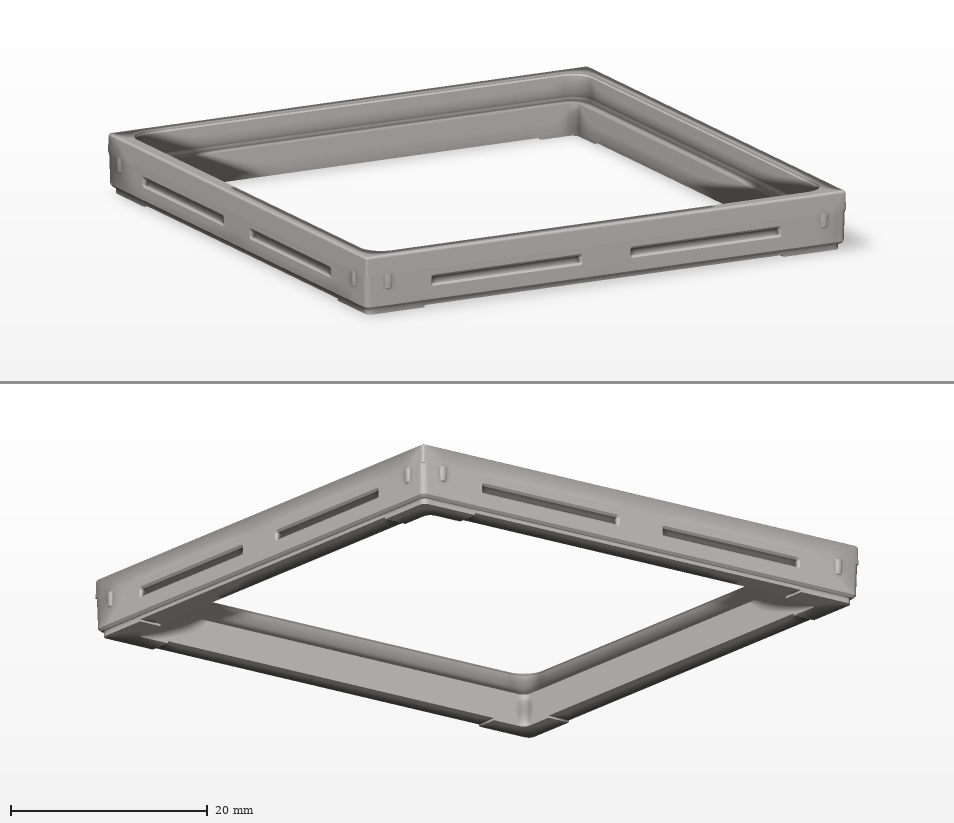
import cadquery as cq
import math

height = 6.2
parting_z = 4.2
half_body = 27.8
draft = 1.5
lower_corner_radius = 0.6
upper_edge_radius = 0.3

body_bottom_z = 0.6
bottom_chamfer = 0.3
half_skirt = 27.3
skirt_corner_radius = 0.65
foot_height = 0.2
foot_inner_edge = 20.75

half_recess = 26.2
recess_corner_radius = 2.25
recess_floor_z = 3.4
recess_chamfer = 0.3
recess_rim_chamfer = 0.14
half_bore = 24.7
bore_corner_radius = 0.85

half_overall = 27.95
bump_offset = 25.15
bump_radius = 0.55
bump_nose_top_z = 3.4
bump_end_radius = 0.5
bump_bottom_z = 2.55
bump_end_rounding = 0.2

groove_inner_end = 2.75
groove_outer_end = 20.25
groove_z = 2.85
groove_width = 1.2
groove_depth = 0.65
groove_flare = 0.2
groove_corner_radius = 0.1

SIDE_ANGLES = (0, 90, 180, 270)


def square_block(half_width, bottom_z, top_z, taper=0.0):
    block = cq.Workplane("XY").workplane(offset=bottom_z).rect(2 * half_width, 2 * half_width)
    return block.extrude(top_z - bottom_z, taper=taper)


def upper_body():
    block = square_block(half_body, parting_z, height, draft)
    return block.edges("not(<Z)").fillet(upper_edge_radius)


def lower_body():
    depth = parting_z - body_bottom_z
    block = (
        cq.Workplane("XY", origin=(0, 0, parting_z))
        .rect(2 * half_body, 2 * half_body)
        .extrude(-depth, taper=draft)
    )
    block = block.edges("not(|X or |Y)").fillet(lower_corner_radius)
    return block.faces("<Z").edges().chamfer(bottom_chamfer)


def skirt():
    block = square_block(half_skirt, 0, body_bottom_z).edges("|Z").fillet(skirt_corner_radius)
    relief_x = cq.Workplane("XY").box(2 * foot_inner_edge, 2 * half_body, 2 * foot_height)
    relief_y = cq.Workplane("XY").box(2 * half_body, 2 * foot_inner_edge, 2 * foot_height)
    return block.cut(relief_x).cut(relief_y)


def opening():
    recess = square_block(half_recess, recess_floor_z, height).edges("|Z").fillet(recess_corner_radius)
    recess = recess.faces("<Z").edges().chamfer(recess_chamfer)
    bore = square_block(half_bore, 0, height).edges("|Z").fillet(bore_corner_radius)
    mouth_half = half_recess + recess_rim_chamfer
    mouth = (
        square_block(mouth_half, height - 2 * recess_rim_chamfer, height)
        .edges("|Z")
        .fillet(recess_corner_radius + recess_rim_chamfer)
        .faces("<Z")
        .edges()
        .chamfer(recess_rim_chamfer)
    )
    return recess.union(bore).union(mouth)


def bump(x):
    """Upright peg on the -Y side with a slightly tapered, round-edged nose at its lower end."""
    peg = (
        cq.Workplane("XZ")
        .moveTo(0, parting_z)
        .lineTo(bump_radius, parting_z)
        .lineTo(bump_radius, bump_nose_top_z)
        .lineTo(bump_end_radius, bump_bottom_z)
        .lineTo(0, bump_bottom_z)
        .close()
        .revolve(360, (0, 0), (0, 1))
    )
    peg = peg.faces("<Z").edges().fillet(bump_end_rounding)
    return peg.translate((x, bump_radius - half_overall, 0))


def groove(direction):
    """Round-bottomed, flat-ended channel cutter on the -Y side with a flared mouth."""
    surface_y = (parting_z - groove_z) * math.tan(math.radians(draft)) - half_body
    floor_length = groove_outer_end - groove_inner_end - 2 * groove_flare
    floor_width = groove_width - 2 * groove_flare
    middle = direction * (groove_inner_end + groove_outer_end) / 2
    radius = floor_width / 2
    channel = (
        cq.Workplane("YZ", origin=(middle, surface_y, groove_z))
        .moveTo(0, -radius)
        .lineTo(groove_depth - radius, -radius)
        .threePointArc((groove_depth, 0), (groove_depth - radius, radius))
        .lineTo(0, radius)
        .close()
        .extrude(floor_length / 2, both=True)
    )
    mouth_outline = (
        cq.Sketch()
        .rect(floor_length, floor_width)
        .vertices()
        .fillet(groove_corner_radius)
    )
    mouth = (
        cq.Workplane("XZ", origin=(middle, surface_y + groove_flare, groove_z))
        .placeSketch(mouth_outline)
        .extrude(2 * groove_flare, taper=-45)
    )
    return channel.union(mouth)


frame = upper_body().union(lower_body()).union(skirt())
for angle in SIDE_ANGLES:
    for x in (-bump_offset, bump_offset):
        frame = frame.union(bump(x).rotate((0, 0, 0), (0, 0, 1), angle))
for angle in SIDE_ANGLES:
    for direction in (-1, 1):
        frame = frame.cut(groove(direction).rotate((0, 0, 0), (0, 0, 1), angle))
result = frame.cut(opening()).solids()